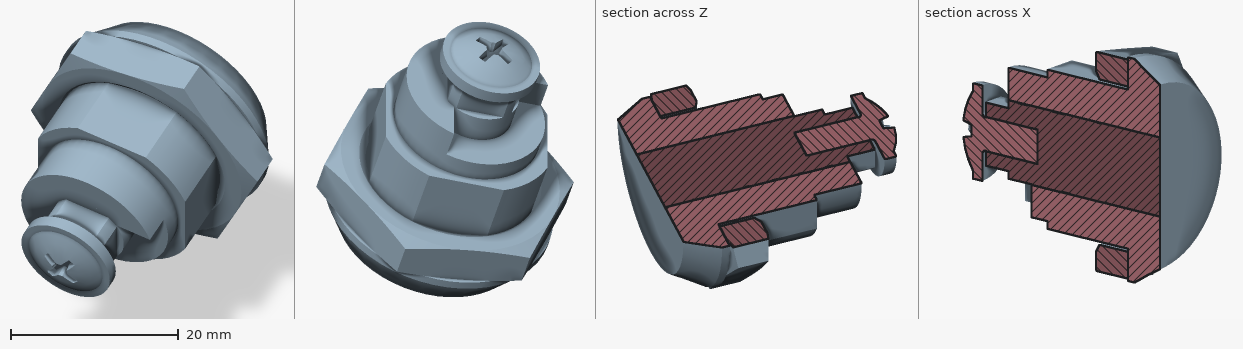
import cadquery as cq
import math


head_cone_end = 4.0
head_end = 5.0
nut_end = 9.95
barrel_end = 17.5
stop_floor = 20.0
collar_end = 23.5
stem_end = 27.0
flange_start = 27.5
flange_end = 29.0
dome_tip = 30.58

head_diameter = 28.0
head_back_diameter = 23.0
barrel_diameter = 21.95
barrel_flats = 19.9
collar_diameter = 18.0
stop_offset = 3.13

nut_width = 30.73
nut_angle = 9.7
nut_corner_radius = nut_width / 2 / math.cos(math.radians(nut_angle))
nut_bore_diameter = 20.6
countersink_diameter = 22.5
countersink_depth = 0.55
nut_face_diameter = 26.98
nut_corner_chamfer = 0.55

stem_diameter = 9.8
stem_flats = 7.93

screw_diameter = 4.2
screw_depth = 8.0
neck_fillet = flange_start - stem_end
flange_diameter = 12.0
dome_diameter = 10.0
recess_depth = 1.32
recess_length = 4.8
recess_width = 0.75
recess_draft = 6.5
recess_angle = 53.0
recess_core_floor_radius = 0.7
recess_core_top_radius = 1.05


def plane_at(distance):
    """Sketch plane at a distance from the head back, facing -Y with X to the right and Z up."""
    return cq.Workplane("XZ", origin=(0, -distance, 0))


def cylinder(diameter, start, end):
    return plane_at(start).circle(diameter / 2).extrude(end - start)


def frustum(start_diameter, end_diameter, start, end):
    return (
        plane_at(start).circle(start_diameter / 2)
        .workplane(offset=end - start).circle(end_diameter / 2)
        .loft(ruled=True)
    )


def flatted_cylinder(diameter, flats, start, end):
    """Cylinder with four flats, parallel to X and Z."""
    square = plane_at(start).rect(flats, flats).extrude(end - start)
    return cylinder(diameter, start, end).intersect(square)


def make_barrel():
    return flatted_cylinder(barrel_diameter, barrel_flats, head_end, barrel_end)


def make_stop_notch():
    """Quarter of the collar removed toward +X and -Z."""
    reach = collar_diameter
    return (
        plane_at(stop_floor)
        .center(-stop_offset, stop_offset)
        .rect(reach, -reach, centered=False)
        .extrude(collar_end - stop_floor)
    )


def make_housing():
    head_cone = frustum(head_back_diameter, head_diameter, 0, head_cone_end)
    head_rim = cylinder(head_diameter, head_cone_end, head_end)
    collar = cylinder(collar_diameter, barrel_end, collar_end).cut(make_stop_notch())
    stem_hole = cylinder(stem_diameter, 0, collar_end)
    return head_cone.union(head_rim).union(make_barrel()).union(collar).cut(stem_hole)


def make_nut_chamfer_envelope():
    """Turned shape whose cones bevel the hexagon corners on both faces."""
    face_radius = nut_face_diameter / 2
    return (
        cq.Workplane("XY")
        .moveTo(0, -head_end)
        .lineTo(face_radius, -head_end)
        .lineTo(nut_corner_radius, -head_end - nut_corner_chamfer)
        .lineTo(nut_corner_radius, -nut_end + nut_corner_chamfer)
        .lineTo(face_radius, -nut_end)
        .lineTo(0, -nut_end)
        .close()
        .revolve(360, (0, 0), (0, 1))
    )


def make_nut():
    hexagon = (
        plane_at(head_end)
        .transformed(rotate=(0, 0, nut_angle))
        .polygon(6, 2 * nut_corner_radius)
        .extrude(nut_end - head_end)
    )
    bore = cylinder(nut_bore_diameter, head_end, nut_end)
    countersink = frustum(nut_bore_diameter, countersink_diameter, nut_end - countersink_depth, nut_end)
    nut = hexagon.intersect(make_nut_chamfer_envelope()).cut(bore).cut(countersink)
    return nut.cut(make_barrel())


def make_stem():
    """Round shaft through the housing with a squared end."""
    shaft = cylinder(stem_diameter, 0, collar_end)
    squared_end = flatted_cylinder(stem_diameter, stem_flats, collar_end, stem_end)
    screw_hole = cylinder(screw_diameter, stem_end - screw_depth, stem_end)
    return shaft.union(squared_end).cut(screw_hole)


def make_cross_recess():
    """Drafted cross with a conical core, cut into the dome."""
    floor = dome_tip - recess_depth
    recess = frustum(2 * recess_core_floor_radius, 2 * recess_core_top_radius, floor, dome_tip)
    for arm_angle in (recess_angle, recess_angle + 90):
        arm = (
            plane_at(floor)
            .transformed(rotate=(0, 0, arm_angle))
            .rect(recess_length, recess_width)
            .extrude(recess_depth, taper=-recess_draft)
        )
        recess = recess.union(arm)
    return recess


def make_screw():
    shank_radius = screw_diameter / 2
    flange_radius = flange_diameter / 2
    dome_radius = dome_diameter / 2
    dome_height = dome_tip - flange_end
    sphere_radius = (dome_radius**2 + dome_height**2) / (2 * dome_height)
    half_angle = math.asin(dome_radius / sphere_radius) / 2
    dome_middle_x = sphere_radius * math.sin(half_angle)
    dome_middle_y = -dome_tip + sphere_radius * (1 - math.cos(half_angle))
    fillet_turn = neck_fillet * (1 - math.sqrt(0.5))
    profile = (
        cq.Workplane("XY")
        .moveTo(0, -stem_end + screw_depth)
        .lineTo(shank_radius, -stem_end + screw_depth)
        .lineTo(shank_radius, -flange_start + neck_fillet)
        .threePointArc(
            (shank_radius + fillet_turn, -flange_start + fillet_turn),
            (shank_radius + neck_fillet, -flange_start),
        )
        .lineTo(flange_radius, -flange_start)
        .lineTo(flange_radius, -flange_end)
        .lineTo(dome_radius, -flange_end)
        .threePointArc((dome_middle_x, dome_middle_y), (0, -dome_tip))
        .close()
    )
    return profile.revolve(360, (0, 0), (0, 1)).cut(make_cross_recess())


housing = make_housing()
nut = make_nut()
stem = make_stem()
screw = make_screw()

result = cq.Compound.makeCompound([housing.val(), nut.val(), stem.val(), screw.val()])